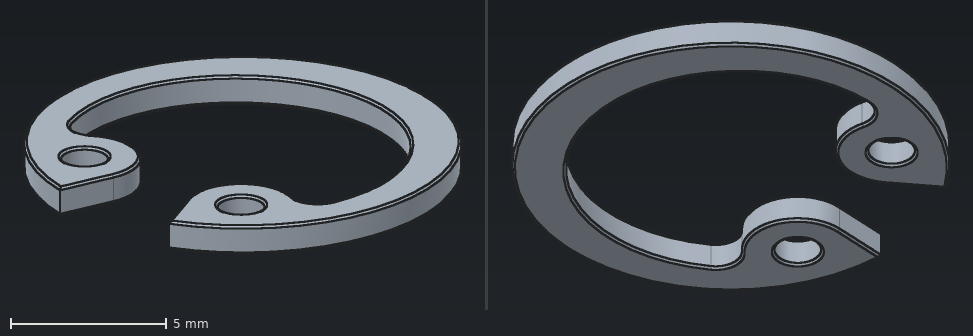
import cadquery as cq
import math

outer_radius = 7.04
bore_radius = 5.63
bore_shift = 0.37
thickness = 1.0
edge_chamfer = 0.08

lug_x = 3.21
lug_y = -4.15
lug_radius = 1.8
hole_diameter = 1.5
tip_x = 2.22
tip_y = -math.sqrt(outer_radius**2 - tip_x**2)
root_radius = 0.85


def point_towards(start, end, distance):
    """Point at a distance from start along the direction to end."""
    length = math.dist(start, end)
    return tuple(s + (e - s) * distance / length for s, e in zip(start, end))


def mirrored(point):
    return (-point[0], point[1])


def on_circle(center, radius, angle):
    return (center[0] + radius * math.cos(angle), center[1] + radius * math.sin(angle))


def angle_of(center, point):
    return math.atan2(point[1] - center[1], point[0] - center[0])


bore_center = (0, -bore_shift)
lug_center = (lug_x, lug_y)
tip = (tip_x, tip_y)

bore_to_root = bore_radius - root_radius
lug_to_root = lug_radius + root_radius
bore_to_lug = math.dist(bore_center, lug_center)
root_turn = math.acos(
    (bore_to_root**2 + bore_to_lug**2 - lug_to_root**2) / (2 * bore_to_root * bore_to_lug)
)
root_center = on_circle(bore_center, bore_to_root, angle_of(bore_center, lug_center) + root_turn)
root_start = point_towards(bore_center, root_center, bore_radius)
root_end = point_towards(lug_center, root_center, lug_radius)
root_chord_middle = tuple((a + b) / 2 for a, b in zip(root_start, root_end))
root_middle = point_towards(root_center, root_chord_middle, root_radius)

tangent_turn = math.acos(lug_radius / math.dist(lug_center, tip))
tangent_angle = angle_of(lug_center, tip) - tangent_turn
tangent_point = on_circle(lug_center, lug_radius, tangent_angle)
boss_middle_angle = (angle_of(lug_center, root_end) + tangent_angle % (2 * math.pi)) / 2
boss_middle = on_circle(lug_center, lug_radius, boss_middle_angle)

bore_top = (0, bore_radius - bore_shift)

ring = (
    cq.Workplane("XY")
    .moveTo(*tip)
    .threePointArc((0, outer_radius), mirrored(tip))
    .lineTo(*mirrored(tangent_point))
    .threePointArc(mirrored(boss_middle), mirrored(root_end))
    .threePointArc(mirrored(root_middle), mirrored(root_start))
    .threePointArc(bore_top, root_start)
    .threePointArc(root_middle, root_end)
    .threePointArc(boss_middle, tangent_point)
    .close()
    .extrude(thickness)
)

plier_holes = (
    cq.Workplane("XY")
    .pushPoints([lug_center, mirrored(lug_center)])
    .circle(hole_diameter / 2)
    .extrude(thickness)
)

result = ring.cut(plier_holes).faces("<Z or >Z").edges().chamfer(edge_chamfer)